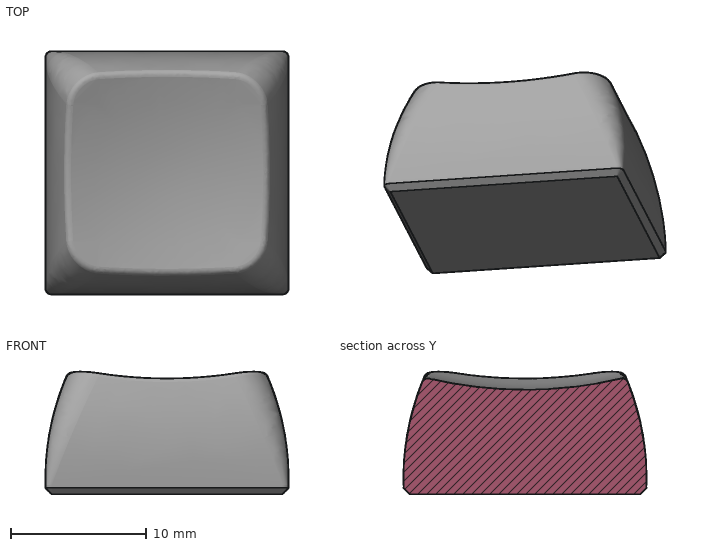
import cadquery as cq
import math

base_side = 18.0
base_corner_radius = 0.49
bottom_chamfer = 0.47
skirt_top = 0.7

wall_bend_height = 1.15
wall_radius = 19.08
blank_top = 9.9
section_count = 8

boundary_top_travel = 4.03
boundary_linear_share = 0.83

dish_radius = 30.96
dish_floor = 7.74
rim_fillet = 0.45


def wall_half_width(height):
    rise = max(0, height - wall_bend_height)
    return base_side / 2 - wall_radius + math.sqrt(wall_radius**2 - rise**2)


def corner_radius(height):
    fraction = (height - skirt_top) / (blank_top - skirt_top)
    shape = boundary_linear_share * fraction + (1 - boundary_linear_share) * fraction**2
    flat_half_width = base_side / 2 - base_corner_radius - boundary_top_travel * shape
    return wall_half_width(height) - flat_half_width


def section(height):
    """Rounded square outline of the keycap at the given height."""
    side = 2 * wall_half_width(height)
    return cq.Sketch().rect(side, side).vertices().fillet(corner_radius(height))


def make_skirt():
    skirt = cq.Workplane("XY").placeSketch(section(skirt_top)).extrude(skirt_top)
    return skirt.faces("<Z").chamfer(bottom_chamfer)


def make_walls():
    step = (blank_top - skirt_top) / (section_count - 1)
    heights = [skirt_top + i * step for i in range(section_count)]
    sections = [section(z).moved(cq.Location(cq.Vector(0, 0, z))) for z in heights]
    return cq.Workplane("XY").placeSketch(*sections).loft()


def cut_dish(body):
    dish_center = (0, 0, dish_floor + dish_radius)
    return body.cut(cq.Workplane("XY").sphere(dish_radius).translate(dish_center))


def round_rim(body):
    rim_edges = [edge for edge in body.edges().vals() if edge.BoundingBox().zmin > dish_floor]
    return body.newObject(rim_edges).fillet(rim_fillet)


top_shell = round_rim(cut_dish(make_walls()))
result = make_skirt().union(top_shell)